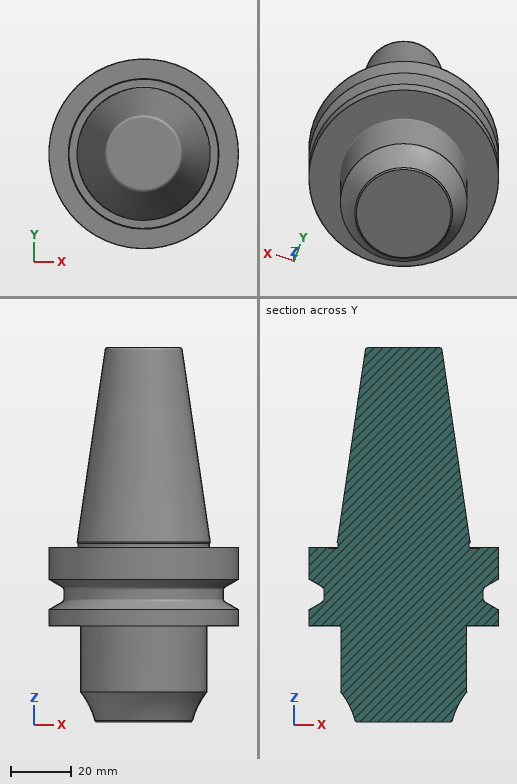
import cadquery as cq
import math

TAPER_RATIO = 7 / 24
GAUGE_RADIUS = 44.45 / 2
TAPER_LENGTH = 65.4
TOP_FILLET = 1.0

TAPER_END = 0.8
UNDERCUT_SLOPE_HEIGHT = 0.5
NECK_RADIUS = 21.85
NECK_FLARE = 0.6
RECESS_RADIUS = 25.0
RECESS_DEPTH = 0.25

FLANGE_RADIUS = 63 / 2
FLANGE_TOP = -1.0
FLANGE_BOTTOM = -27.0
GROOVE_CENTER = -16.6
GROOVE_ROOT_RADIUS = 53 / 2
GROOVE_MOUTH = 10.1
GROOVE_FLANK_ANGLE = 30.0
GROOVE_FILLET = 1.0

NOSE_RADIUS = 42 / 2
NOSE_SHOULDER = -49.3
NOSE_BOTTOM = -59.0
NOSE_ROOT_FILLET = 0.3
NOSE_EDGE_BREAK = 0.3
NOSE_END_RADIUS = 16.2
NOSE_ARC_SAG = 0.5
NOSE_END_CHAMFER = 0.5


def taper_radius(z):
    """Radius of the taper at height z above the gauge plane."""
    return GAUGE_RADIUS - z * TAPER_RATIO / 2


def concave_midpoint(start, end, sag):
    """Middle of an arc that bows toward the axis and upward from its chord."""
    dr = end[0] - start[0]
    dz = end[1] - start[1]
    chord = math.hypot(dr, dz)
    mid_r = (start[0] + end[0]) / 2 + sag * dz / chord
    mid_z = (start[1] + end[1]) / 2 - sag * dr / chord
    return mid_r, mid_z


def make_body():
    """Revolve the half profile of taper, flange and nose, without the groove."""
    recess_z = FLANGE_TOP - RECESS_DEPTH
    arc_start = (NOSE_RADIUS - NOSE_EDGE_BREAK, NOSE_SHOULDER)
    arc_end = (NOSE_END_RADIUS, NOSE_BOTTOM + NOSE_END_CHAMFER)
    arc_mid = concave_midpoint(arc_start, arc_end, NOSE_ARC_SAG)
    profile = (
        cq.Workplane("XZ")
        .moveTo(0, TAPER_LENGTH)
        .lineTo(taper_radius(TAPER_LENGTH), TAPER_LENGTH)
        .lineTo(taper_radius(TAPER_END), TAPER_END)
        .lineTo(NECK_RADIUS, TAPER_END - UNDERCUT_SLOPE_HEIGHT)
        .lineTo(NECK_RADIUS, recess_z + NECK_FLARE)
        .radiusArc((NECK_RADIUS + NECK_FLARE, recess_z), -NECK_FLARE)
        .lineTo(RECESS_RADIUS - RECESS_DEPTH, recess_z)
        .lineTo(RECESS_RADIUS, FLANGE_TOP)
        .lineTo(FLANGE_RADIUS, FLANGE_TOP)
        .lineTo(FLANGE_RADIUS, FLANGE_BOTTOM)
        .lineTo(NOSE_RADIUS + NOSE_ROOT_FILLET, FLANGE_BOTTOM)
        .radiusArc((NOSE_RADIUS, FLANGE_BOTTOM - NOSE_ROOT_FILLET), -NOSE_ROOT_FILLET)
        .lineTo(NOSE_RADIUS, NOSE_SHOULDER + NOSE_EDGE_BREAK)
        .lineTo(*arc_start)
        .threePointArc(arc_mid, arc_end)
        .lineTo(NOSE_END_RADIUS - NOSE_END_CHAMFER, NOSE_BOTTOM)
        .lineTo(0, NOSE_BOTTOM)
        .close()
    )
    body = profile.revolve(360, (0, 0), (0, 1))
    return body.faces(">Z").edges().fillet(TOP_FILLET)


def make_groove_cutter():
    """Ring whose inner side is the V groove with rounded root corners."""
    flank_rise = (FLANGE_RADIUS - GROOVE_ROOT_RADIUS) * math.tan(math.radians(GROOVE_FLANK_ANGLE))
    mouth_half = GROOVE_MOUTH / 2
    root_half = mouth_half - flank_rise
    ring = (
        cq.Workplane("XZ")
        .moveTo(FLANGE_RADIUS, GROOVE_CENTER + mouth_half)
        .lineTo(GROOVE_ROOT_RADIUS, GROOVE_CENTER + root_half)
        .lineTo(GROOVE_ROOT_RADIUS, GROOVE_CENTER - root_half)
        .lineTo(FLANGE_RADIUS, GROOVE_CENTER - mouth_half)
        .close()
        .revolve(360, (0, 0), (0, 1))
    )
    root_edges = cq.selectors.RadiusNthSelector(0)
    return ring.edges("%CIRCLE").edges(root_edges).fillet(GROOVE_FILLET)


result = make_body().cut(make_groove_cutter())